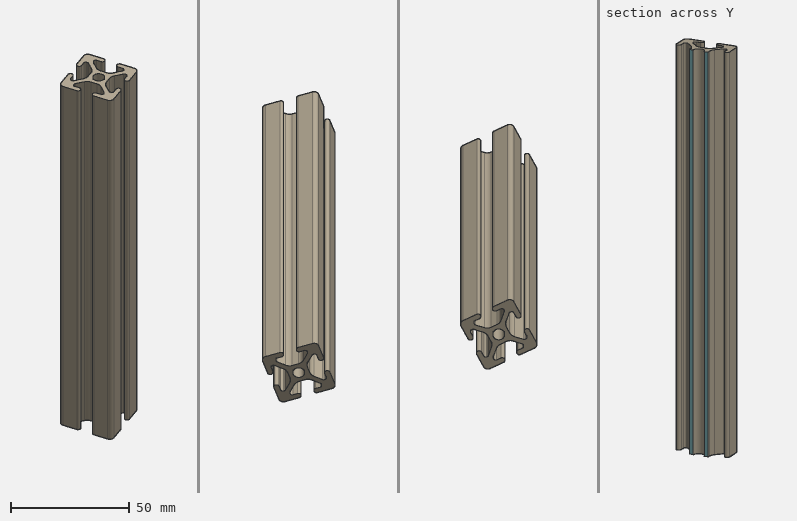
import cadquery as cq
import math

length = 180.0
side = 25.0
corner_radius = 2.0
bore_diameter = 5.0

slot_opening = 5.8
slot_inner_width = 14.0
lip_thickness = 2.3
slot_corner_radius = 0.9
core_width = 8.8
core_fillet_radius = 3.6
web_thickness = 2.2

half_side = side / 2
half_opening = slot_opening / 2
lip_tip_radius = lip_thickness / 2
lip_flat_end = half_opening + lip_tip_radius
half_inner = slot_inner_width / 2
lip_inner_y = half_side - lip_thickness
floor_y = core_width / 2
web_offset = web_thickness / math.sqrt(2)
floor_half_width = floor_y - web_offset
wall_bottom_y = half_inner + web_offset


def fillet_edges_at(body, points, radius):
    """Round the edges parallel to Z that pass through the given (x, y) points."""
    for x, y in points:
        body = body.edges(cq.selectors.NearestToPointSelector((x, y, length / 2))).fillet(radius)
    return body


def mirrored(x, y):
    return [(x, y), (-x, y)]


def make_slot():
    """Void of one T-slot open to +Y, cut back to where the lip tips start."""
    right_half = [
        (floor_half_width, floor_y),
        (half_inner, wall_bottom_y),
        (half_inner, lip_inner_y),
        (lip_flat_end, lip_inner_y),
        (lip_flat_end, half_side),
    ]
    left_half = [(-x, y) for x, y in reversed(right_half)]
    slot = cq.Workplane("XY").polyline(right_half + left_half).close().extrude(length)
    slot = fillet_edges_at(slot, mirrored(floor_half_width, floor_y), core_fillet_radius)
    slot = fillet_edges_at(slot, mirrored(half_inner, wall_bottom_y), slot_corner_radius)
    return fillet_edges_at(slot, mirrored(half_inner, lip_inner_y), slot_corner_radius)


result = cq.Workplane("XY").rect(side, side).extrude(length).edges("|Z").fillet(corner_radius)

slot_void = make_slot()
lip_tips = (
    cq.Workplane("XY")
    .pushPoints(mirrored(lip_flat_end, half_side - lip_tip_radius))
    .circle(lip_tip_radius)
    .extrude(length)
)
slot_tool = slot_void.cut(lip_tips)
for angle in [0, 90, 180, 270]:
    result = result.cut(slot_tool.rotate((0, 0, 0), (0, 0, 1), angle))

bore = cq.Workplane("XY").circle(bore_diameter / 2).extrude(length)
result = result.cut(bore)